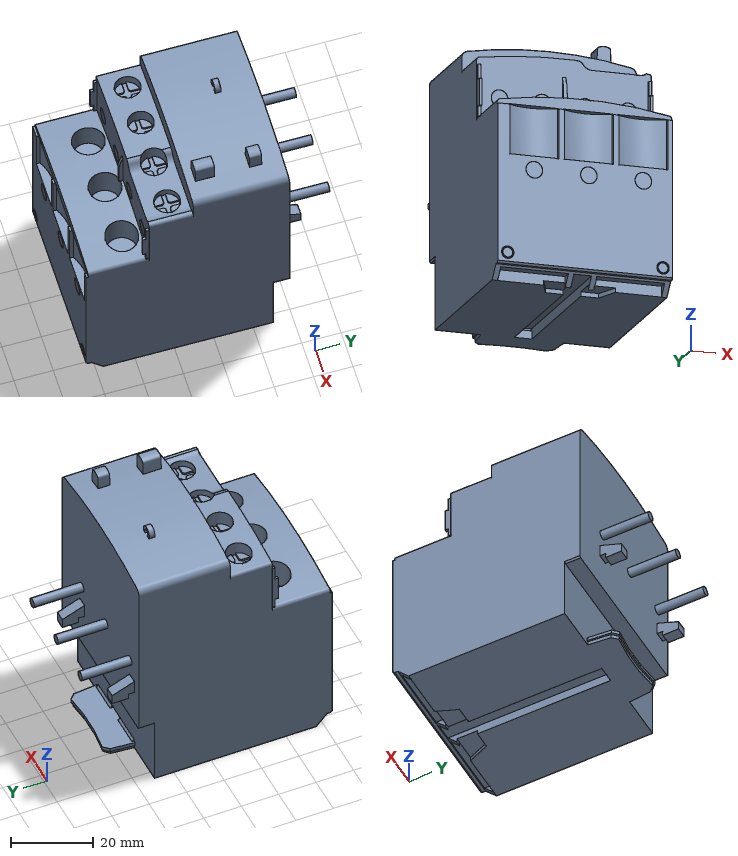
import cadquery as cq


width = 44.8
half_width = width / 2
lip_y = 0.55
middle_y = 16.0
upper_y = 27.25
base_rear_y = 47.5
rear_y = 51.65
plate_top_z = 43.75
lower_crown_z, lower_edge_z, lower_round = 47.0, 44.9, 0.9
middle_crown_z, middle_edge_z, middle_round = 61.9, 60.05, 0.7
upper_crown_z, upper_edge_z, upper_round = 67.1, 64.8, 1.8
overhang_z = 18.3
overhang_chamfer = 0.4

toe_z = 3.25
toe_y = 1.4
toe_rear_y = 4.4
toe_edge_chamfer = 0.5
underside_recess_z = 2.75
post_width = 1.4
channel_half_width = 2.25
latch_z = 1.1
latch_front_half_width = 9.2
latch_rear_half_width = 6.85
latch_depth = 5.65

pole_pitch = 14.0
pole_center_x = 0.9
pole_xs = [pole_center_x + i * pole_pitch for i in (-1, 0, 1)]
pole_hole_radius = 4.1
pole_hole_y = 11.3
pole_hole_depth = 8.5
wire_pocket_width = 12.55
wire_pocket_bottom_z = 31.1
wire_pocket_top_z = 44.05
wire_pocket_side_depth = 0.9
wire_pocket_depth = 2.55

control_pitch = 11.0
control_xs = [(i - 1.5) * control_pitch for i in range(4)]
control_hole_radius = 3.25
control_hole_y = 22.3
screw_head_z = 57.9
screw_slot_width = 1.05
screw_slot_depth = 0.55
screw_center_size = 2.1

marker_radius = 2.1
marker_depth = 0.1
pole_marker_z = 27.65
control_marker_z = 50.25

dial_floor_z = 59.7
dial_right_top_z = 60.35
dial_split_x = 12.7
dial_left_x, dial_left_bend_x, dial_left_top_x = 7.3, 4.8, 3.4
dial_left_bend_z, dial_left_top_z = 61.05, 61.8
dial_right_x, dial_right_top_x = 19.5, 21.2

guide_width = 0.7
guide_inset = 0.15
guide_front_y, guide_step_y = 14.4, 15.25
guide_top_z, guide_upper_z, guide_lower_z = 58.15, 54.35, 47.5
rib_width = 0.9
rib_top_z, rib_bend_z = 57.15, 52.8
rib_front_y = 14.95
stud_x = 19.9
stud_z = 6.0
stud_radius = 1.55
stud_height = 0.15
stud_rim_width = 0.3

button_x = 14.8
button_base_width, button_top_width = 3.8, 3.3
button_crown = 0.5
button_round = 0.55
reset_y, reset_length, reset_top_z = 31.9, 4.9, 70.6
test_y, test_length, test_top_z = 44.75, 3.1, 70.3
eyelet_x, eyelet_z = -6.85, 67.55
eyelet_radius, eyelet_hole_radius = 1.75, 0.85
eyelet_front_y, eyelet_thickness = 41.1, 1.5

pin_center_x = -3.1
pin_xs = [pin_center_x + i * pole_pitch for i in (-1, 0, 1)]
pin_diameter = 2.5
pin_z = 37.05
pin_end_y = 64.9
hook_width = 2.8
hook_left_xs = (-19.75, 9.3)
hook_root_top_z, hook_tip_top_z = 32.2, 29.8
hook_root_bottom_z, hook_tip_bottom_z = 28.5, 27.1
hook_end_y, hook_notch_y = 57.6, 53.2
foot_thickness = 2.1
foot_half_width = 11.15
foot_tip_half_width = 10.5
foot_end_y = 55.4
foot_dip = 0.7
foot_corner = 1.4
foot_step_z = 1.1
foot_step = 0.4
foot_brace_size = 0.55

embed = 0.7
clearance = 0.7


def box(x0, x1, y0, y1, z0, z1):
    return cq.Workplane("XY").box(x1 - x0, y1 - y0, z1 - z0, centered=False).translate((x0, y0, z0))


def front_plane(y):
    """XZ sketch plane at depth y; extruding by a negative length goes rearward."""
    return cq.Workplane("XZ", origin=(0, y, 0))


def side_profile(points, x0, x1):
    """Extrude a closed (y, z) outline from x0 to x1."""
    return cq.Workplane("YZ", origin=(x0, 0, 0)).polyline(points).close().extrude(x1 - x0)


def tier(y0, y1, bottom_z, crown_z, edge_z, corner_round):
    """Slice of the housing with an arched top and rounded top side edges."""
    block = (
        front_plane(y0)
        .moveTo(-half_width, bottom_z)
        .lineTo(-half_width, edge_z)
        .threePointArc((0, crown_z), (half_width, edge_z))
        .lineTo(half_width, bottom_z)
        .close()
        .extrude(y0 - y1)
    )
    middle_z = (bottom_z + edge_z) / 2
    top_sides = block.edges("|Y").edges(cq.selectors.BoxSelector(
        (-width, y0 - clearance, middle_z), (width, y1 + clearance, crown_z)))
    return top_sides.fillet(corner_round)


def housing():
    front_block = [(toe_y, toe_z), (toe_rear_y, 0), (middle_y, 0), (middle_y, plate_top_z),
                   (0, plate_top_z), (0, toe_z + toe_edge_chamfer), (toe_edge_chamfer, toe_z)]
    body = side_profile(front_block, -half_width, half_width)
    body = body.union(tier(lip_y, middle_y, plate_top_z - embed, lower_crown_z, lower_edge_z, lower_round))
    body = body.union(tier(middle_y, upper_y, 0, middle_crown_z, middle_edge_z, middle_round))
    body = body.union(tier(upper_y, base_rear_y, 0, upper_crown_z, upper_edge_z, upper_round))
    overhang = tier(base_rear_y, rear_y, overhang_z, upper_crown_z, upper_edge_z, upper_round)
    overhang = overhang.faces("<Z").edges("|Y").chamfer(overhang_chamfer)
    return body.union(overhang)


def underside_cuts():
    """Pockets between the front posts, a central channel and a tapered latch opening."""
    side_inner = channel_half_width + post_width
    side_outer = half_width - post_width
    cuts = box(-channel_half_width, channel_half_width, -clearance, rear_y, -clearance, underside_recess_z)
    for x0 in (-side_outer, side_inner):
        cuts = cuts.union(box(x0, x0 + side_outer - side_inner, -clearance, toe_rear_y,
                              -clearance, underside_recess_z))
    latch = (
        cq.Workplane("XY", origin=(0, 0, -clearance))
        .polyline([(-latch_front_half_width, toe_rear_y), (latch_front_half_width, toe_rear_y),
                   (latch_rear_half_width, toe_rear_y + latch_depth),
                   (-latch_rear_half_width, toe_rear_y + latch_depth)])
        .close()
        .extrude(latch_z + clearance)
    )
    return cuts.union(latch)


def wire_pocket(x):
    """Front pocket with a floor hollowed about a vertical axis."""
    left, right = x - wire_pocket_width / 2, x + wire_pocket_width / 2
    return (
        cq.Workplane("XY", origin=(0, 0, wire_pocket_bottom_z))
        .moveTo(left, -clearance)
        .lineTo(left, wire_pocket_side_depth)
        .threePointArc((x, wire_pocket_depth), (right, wire_pocket_side_depth))
        .lineTo(right, -clearance)
        .close()
        .extrude(wire_pocket_top_z - wire_pocket_bottom_z)
    )


def vertical_hole(x, y, radius, floor_z):
    return cq.Workplane("XY", origin=(x, y, floor_z)).circle(radius).extrude(upper_crown_z - floor_z)


def screw_recess(x):
    """Cross slot in the screw head at the floor of a control terminal hole."""
    length = 2 * control_hole_radius
    slots = (
        cq.Workplane("XY", origin=(x, control_hole_y, screw_head_z - screw_slot_depth))
        .rect(length, screw_slot_width).extrude(screw_slot_depth)
    )
    slots = slots.union(slots.rotate((x, control_hole_y, 0), (x, control_hole_y, 1), 90))
    center = (
        cq.Workplane("XY", origin=(x, control_hole_y, screw_head_z - screw_slot_depth))
        .rect(screw_center_size, screw_center_size).extrude(screw_slot_depth)
        .rotate((x, control_hole_y, 0), (x, control_hole_y, 1), 45)
    )
    round_head = vertical_hole(x, control_hole_y, control_hole_radius, screw_head_z - screw_slot_depth)
    return slots.union(center).intersect(round_head)


def marker(x, y, z):
    """Very shallow round recess in a front face."""
    return front_plane(y).center(x, z).circle(marker_radius).extrude(-marker_depth)


def dial_recess():
    """Flat-floored recess with an S-curved left wall and a curved rise on the right."""
    left_part = (
        front_plane(middle_y)
        .moveTo(dial_split_x, dial_floor_z)
        .lineTo(dial_left_x, dial_floor_z)
        .tangentArcPoint((dial_left_bend_x, dial_left_bend_z), relative=False)
        .tangentArcPoint((dial_left_top_x, dial_left_top_z), relative=False)
        .lineTo(dial_left_top_x, middle_crown_z)
        .lineTo(dial_split_x, middle_crown_z)
        .close()
        .extrude(middle_y - upper_y)
    )
    right_part = (
        front_plane(middle_y)
        .moveTo(dial_split_x, dial_floor_z)
        .lineTo(dial_right_x, dial_floor_z)
        .tangentArcPoint((dial_right_top_x, dial_right_top_z), relative=False)
        .lineTo(dial_right_top_x, middle_crown_z)
        .lineTo(dial_split_x, middle_crown_z)
        .close()
        .extrude(middle_y - upper_y)
    )
    return left_part.union(right_part)


def side_guide(x0):
    """Stepped strip along one side edge of the middle tier's front face."""
    outline = [(middle_y + embed, lower_edge_z), (guide_step_y, lower_edge_z), (guide_step_y, guide_lower_z),
               (guide_front_y, guide_lower_z), (guide_front_y, guide_upper_z), (guide_step_y, guide_upper_z),
               (guide_step_y, guide_top_z), (middle_y + embed, guide_top_z)]
    return side_profile(outline, x0, x0 + guide_width)


def center_rib():
    """Upright rib whose front edge curves back into the middle tier."""
    return (
        cq.Workplane("YZ", origin=(-rib_width / 2, 0, 0))
        .moveTo(middle_y + embed, lower_crown_z)
        .lineTo(rib_front_y, lower_crown_z)
        .lineTo(rib_front_y, rib_bend_z)
        .tangentArcPoint((middle_y, rib_top_z), relative=False)
        .lineTo(middle_y + embed, rib_top_z)
        .close()
        .extrude(rib_width)
    )


def stud(x):
    """Round rim standing slightly proud of the front plate."""
    disc = front_plane(embed).center(x, stud_z).circle(stud_radius).extrude(embed + stud_height)
    dish = front_plane(0).center(x, stud_z).circle(stud_radius - stud_rim_width).extrude(stud_height)
    return disc.cut(dish)


def button(y, length, top_z):
    """Tapered button with an arched top and rounded top side edges."""
    base_z = upper_edge_z - embed
    shoulder_z = top_z - button_crown
    base_half, top_half = button_base_width / 2, button_top_width / 2
    body = (
        front_plane(y - length / 2)
        .moveTo(button_x - base_half, base_z)
        .lineTo(button_x - top_half, shoulder_z)
        .threePointArc((button_x, top_z), (button_x + top_half, shoulder_z))
        .lineTo(button_x + base_half, base_z)
        .close()
        .extrude(-length)
    )
    shoulders = body.edges("|Y").edges(">Z")
    return shoulders.fillet(button_round)


def eyelet():
    ring = front_plane(eyelet_front_y).center(eyelet_x, eyelet_z).circle(eyelet_radius)
    return ring.circle(eyelet_hole_radius).extrude(-eyelet_thickness)


def hook(x0):
    """Rear hook with a sloped top and a downward tip."""
    root_y = rear_y - embed
    outline = [(root_y, hook_root_top_z), (rear_y, hook_root_top_z), (hook_end_y, hook_tip_top_z),
               (hook_end_y, hook_tip_bottom_z), (hook_notch_y, hook_tip_bottom_z),
               (hook_notch_y, hook_root_bottom_z), (root_y, hook_root_bottom_z)]
    return side_profile(outline, x0, x0 + hook_width)


def foot_layer(inset, z0, z1):
    """Slice of the foot with its sides and free end pulled in by an inset."""
    root_half, tip_half = foot_half_width - inset, foot_tip_half_width - inset
    flat_x = tip_half - foot_corner
    start_y, end_y = base_rear_y - embed, foot_end_y - inset
    return (
        cq.Workplane("XY", origin=(0, 0, z0))
        .moveTo(-root_half, start_y)
        .lineTo(-tip_half, end_y - foot_corner)
        .lineTo(-flat_x, end_y)
        .threePointArc((0, end_y - foot_dip), (flat_x, end_y))
        .lineTo(tip_half, end_y - foot_corner)
        .lineTo(root_half, start_y)
        .close()
        .extrude(z1 - z0)
    )


def foot():
    """Rail foot at the bottom rear, stepped in below and braced beside the channel."""
    plate = foot_layer(0, foot_step_z, foot_thickness).union(foot_layer(foot_step, 0, foot_step_z))
    start_y = base_rear_y - embed
    brace_top_z = foot_thickness + foot_brace_size
    brace = [(start_y, foot_thickness), (base_rear_y + foot_brace_size, foot_thickness),
             (base_rear_y, brace_top_z), (start_y, brace_top_z)]
    for x0, x1 in ((-foot_tip_half_width, -channel_half_width), (channel_half_width, foot_tip_half_width)):
        plate = plate.union(side_profile(brace, x0, x1))
    return plate


def pin(x):
    root_y = rear_y - embed
    return front_plane(root_y).center(x, pin_z).circle(pin_diameter / 2).extrude(root_y - pin_end_y)


result = housing().cut(underside_cuts()).cut(dial_recess())

for x in pole_xs:
    result = result.cut(wire_pocket(x))
    result = result.cut(vertical_hole(x, pole_hole_y, pole_hole_radius, lower_crown_z - pole_hole_depth))
    result = result.cut(marker(x, 0, pole_marker_z))

for x in control_xs:
    result = result.cut(vertical_hole(x, control_hole_y, control_hole_radius, screw_head_z))
    result = result.cut(screw_recess(x))
    result = result.cut(marker(x, middle_y, control_marker_z))

guide_outer_x = half_width - guide_inset
for x0 in (-guide_outer_x, guide_outer_x - guide_width):
    result = result.union(side_guide(x0))
result = result.union(center_rib())

for x in (-stud_x, stud_x):
    result = result.union(stud(x))

result = result.union(button(reset_y, reset_length, reset_top_z))
result = result.union(button(test_y, test_length, test_top_z))
result = result.union(eyelet())

for x in pin_xs:
    result = result.union(pin(x))
for x0 in hook_left_xs:
    result = result.union(hook(x0))
result = result.union(foot())